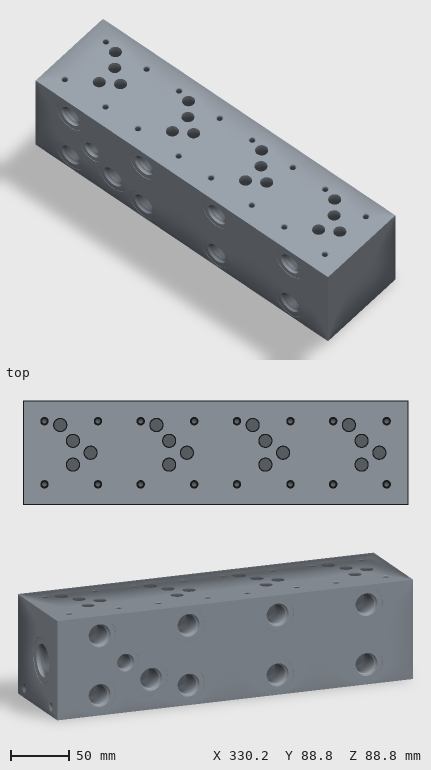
import cadquery as cq
import math

LENGTH = 330.2
SIDE = 88.8
MID = SIDE / 2

STATIONS = 4
PITCH = 82.5
STATION_X = 18.0
MOUNT_DX = 46.0
MOUNT_DY = 54.0
MOUNT_Y = MID - MOUNT_DY / 2
MOUNT_DIA = 5.0
MOUNT_MOUTH = 6.3
MOUNT_DEPTH = 16.5

PASSAGE_DIA = 11.2
PASSAGE_DEPTH = 19.8
CROSS_X = 24.5
CROSS_DY = 10.2
PRESSURE_X = 39.5
TANK_X = 13.5
TANK_DY = 23.8
PASSAGES = [
    (TANK_X, MOUNT_DY / 2 + TANK_DY),
    (CROSS_X, MOUNT_DY / 2 + CROSS_DY),
    (PRESSURE_X, MOUNT_DY / 2),
    (CROSS_X, MOUNT_DY / 2 - CROSS_DY),
]

SPOTFACE_DEPTH = 0.3
SEAT_ANGLE = math.radians(15)
PORT_DEPTH = 26.5
SMALL_PORT = (25.0, 16.0, 14.2, 13.0)
MEDIUM_PORT = (30.5, 20.5, 19.0, 17.2)
LARGE_PORT = (41.3, 29.0, 27.0, 24.8)

WORK_X = 39.3
WORK_DZ = 26.7
GAUGE_X = 63.5
TANK_PORT_X = 87.2
TANK_PORT_Z = 26.7
PRESSURE_Y = 33.5

END_HOLE_DIA = 6.3
END_HOLE_MOUTH = 8.0
END_HOLE_DEPTH = 16.5
END_HOLE_DY = 60.5
END_HOLE_Z = 8.3

DRILL_POINT_ANGLE = math.radians(59)

INTO_FRONT = cq.Vector(0, 1, 0)
INTO_END = cq.Vector(1, 0, 0)
INTO_TOP = cq.Vector(0, 0, -1)


def revolved_cutter(profile, point, direction):
    """Turn a (radius, depth) profile about the hole axis and place it at a point."""
    across = (direction.y, direction.z, direction.x)
    plane = cq.Plane(origin=point, xDir=across, normal=direction.toTuple())
    cutter = cq.Workplane("XZ").polyline(profile).close().revolve(360, (0, 0), (0, 1))
    return cutter.val().moved(cq.Location(plane))


def port_cutter(sizes, point, direction):
    """Flat-bottomed port with a shallow spotface, a tapered seat and a chamfered bore."""
    spotface, mouth, throat, bore = sizes
    seat_end = SPOTFACE_DEPTH + (mouth - throat) / 2 / math.tan(SEAT_ANGLE)
    bore_start = seat_end + (throat - bore) / 2
    profile = [
        (0, 0),
        (spotface / 2, 0),
        (spotface / 2, SPOTFACE_DEPTH),
        (mouth / 2, SPOTFACE_DEPTH),
        (throat / 2, seat_end),
        (bore / 2, bore_start),
        (bore / 2, PORT_DEPTH),
        (0, PORT_DEPTH),
    ]
    return revolved_cutter(profile, point, direction)


def screw_hole_cutter(diameter, mouth, depth, point, direction):
    """Drilled hole with a 45 degree chamfered mouth and a conical bottom."""
    radius = diameter / 2
    chamfer = mouth / 2 - radius
    profile = [
        (0, 0),
        (mouth / 2, 0),
        (radius, chamfer),
        (radius, depth),
        (0, depth + radius / math.tan(DRILL_POINT_ANGLE)),
    ]
    return revolved_cutter(profile, point, direction)


def passage_cutter(point):
    """Plain flat-bottomed hole down from the top face."""
    return cq.Solid.makeCylinder(PASSAGE_DIA / 2, PASSAGE_DEPTH, cq.Vector(*point), INTO_TOP)


cutters = []

for station in range(STATIONS):
    shift = station * PITCH
    first_x = STATION_X + shift
    for dx in (0, MOUNT_DX):
        for dy in (0, MOUNT_DY):
            corner = (first_x + dx, MOUNT_Y + dy, SIDE)
            cutters.append(screw_hole_cutter(MOUNT_DIA, MOUNT_MOUTH, MOUNT_DEPTH, corner, INTO_TOP))
    for dx, dy in PASSAGES:
        cutters.append(passage_cutter((first_x + dx, MOUNT_Y + dy, SIDE)))
    for z in (MID - WORK_DZ, MID + WORK_DZ):
        cutters.append(port_cutter(MEDIUM_PORT, (WORK_X + shift, 0, z), INTO_FRONT))

cutters.append(port_cutter(SMALL_PORT, (GAUGE_X, 0, MID), INTO_FRONT))
cutters.append(port_cutter(MEDIUM_PORT, (TANK_PORT_X, 0, TANK_PORT_Z), INTO_FRONT))
cutters.append(port_cutter(LARGE_PORT, (0, PRESSURE_Y, MID), INTO_END))

for y in (MID - END_HOLE_DY / 2, MID + END_HOLE_DY / 2):
    cutters.append(screw_hole_cutter(END_HOLE_DIA, END_HOLE_MOUTH, END_HOLE_DEPTH, (0, y, END_HOLE_Z), INTO_END))

block = cq.Workplane("XY").box(LENGTH, SIDE, SIDE, centered=False)
for cutter in cutters:
    block = block.cut(cq.Workplane(obj=cutter))

result = block